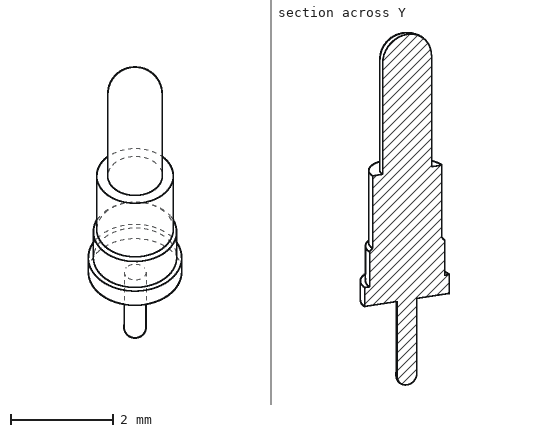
import cadquery as cq

tail_diameter = 0.43
flange_diameter = 1.83
collar_diameter = 1.63
barrel_diameter = 1.5
plunger_diameter = 1.07
tail_ball_diameter = 0.438

overall_length = 7.27
tail_length = 1.76
flange_thickness = 0.4
collar_length = 0.79
barrel_length = 1.5

tail_radius = tail_diameter / 2
flange_radius = flange_diameter / 2
collar_radius = collar_diameter / 2
barrel_radius = barrel_diameter / 2
plunger_radius = plunger_diameter / 2
tail_ball_radius = tail_ball_diameter / 2

collar_chamfer = collar_radius - barrel_radius
tail_tip_z = -tail_length
collar_top_z = flange_thickness + collar_length
barrel_top_z = collar_top_z + barrel_length
plunger_tip_z = tail_tip_z + overall_length


def cylinder(radius, bottom_z, top_z):
    """Solid cylinder on the Z axis between two levels."""
    return cq.Workplane("XY", origin=(0, 0, bottom_z)).circle(radius).extrude(top_z - bottom_z)


def make_housing():
    """Flange, chamfered collar and barrel, stacked upward from Z = 0."""
    flange = cylinder(flange_radius, 0, flange_thickness)
    collar = cylinder(collar_radius, flange_thickness, collar_top_z)
    collar = collar.faces(">Z").chamfer(collar_chamfer)
    barrel = cylinder(barrel_radius, collar_top_z, barrel_top_z)
    return flange.union(collar).union(barrel)


def make_ball(radius, center_z):
    """Sphere centered on the Z axis."""
    return cq.Workplane("XY", origin=(0, 0, center_z)).sphere(radius)


def make_plunger():
    """Contact pin above the barrel, with a hemispherical tip."""
    dome_center_z = plunger_tip_z - plunger_radius
    shaft = cylinder(plunger_radius, barrel_top_z, dome_center_z)
    return shaft.union(make_ball(plunger_radius, dome_center_z))


def make_tail():
    """Solder pin below the flange, ending in a ball slightly wider than the pin."""
    ball_center_z = tail_tip_z + tail_ball_radius
    shaft = cylinder(tail_radius, ball_center_z, 0)
    return shaft.union(make_ball(tail_ball_radius, ball_center_z))


result = make_housing().union(make_plunger()).union(make_tail())